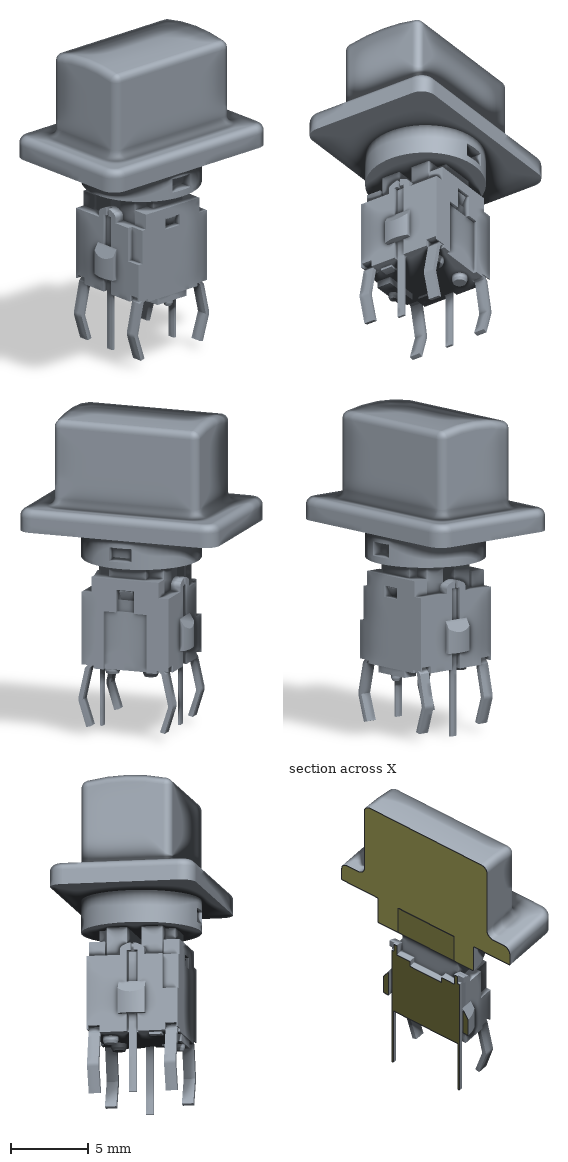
import cadquery as cq
import math

TOTAL_HEIGHT = 20.97
BASE_Z = 4.45
LEDGE_Z = 9.48
POST_TOP_Z = 10.5
COLLAR_BOTTOM_Z = 11.43
FLANGE_BOTTOM_Z = 13.53
FLANGE_TOP_Z = 15.0

FLANGE_SIZE_X = 9.6
FLANGE_SIZE_Y = 13.7
FLANGE_CORNER_RADIUS = 1.0
BUTTON_SIZE_X = 6.0
BUTTON_SIZE_Y = 10.0
CROWN_RADIUS = 12.0
ROUNDING = 0.5
COLLAR_DIAMETER = 7.8
WINDOW_WIDTH = 1.55
WINDOW_BOTTOM_Z = 11.87
WINDOW_TOP_Z = 12.8
WINDOW_CLEARANCE = 0.13

STEM_SIZE_X = 3.71
STEM_SIZE_Y = 4.5
STEM_CHAMFER = 0.05
ARM_REACH = 2.52
ARM_WIDTH = 2.54
ARM_BOTTOM_Z = 9.05
FORK_GAP = 0.96
TAB_REACH = 3.17
HOOK_WIDTH = 0.88
HOOK_TIP_X = 2.85
HOOK_TIP_Z = 9.69

HOUSING_SIZE = 5.98
HALF_HOUSING = HOUSING_SIZE / 2
POST_SIZE_Y = 4.65
CHANNEL_SIZE_X = 3.85

GABLE_WIDTH = 1.6
GABLE_EAVES_Z = 9.8
GABLE_SHOULDER_X = 0.5
GABLE_SHOULDER_Z = 10.13
GABLE_TOP_Z = 10.28
GABLE_SLIT_WIDTH = 0.2

PIN_WIDTH = 0.5
PIN_THICKNESS = 0.17
PIN_OUTER_Y = 2.77
PIN_TOP_Z = 9.67
REAR_PIN_BOTTOM_Z = 0.0
FRONT_PIN_BOTTOM_Z = 0.5
PIN_SLOT_WIDTH = 0.71
PIN_SLOT_TOP_Z = 9.77
PIN_SLOT_FLOOR_Y = PIN_OUTER_Y - PIN_THICKNESS

CLIP_WIDTH = 1.78
CLIP_CURVE_RADIUS = 2.41
CLIP_REACH_Y = 3.45
CLIP_BOTTOM_Z = 5.6
CLIP_TOP_Z = 7.72
CLIP_NOSE_Z = 6.96

CORNER_RECESS_WIDTH = 0.99
CORNER_RECESS_DEPTH = 0.34
CORNER_RECESS_BOTTOM_Z = 7.2

PANEL_WIDTH = 2.95
PANEL_DEPTH = 0.23
PANEL_TOP_Z = 8.3
PORT_WIDTH = 1.25
PORT_TOP_Z = 9.8
GROOVE_DEPTH = 0.38

LEG_INNER_X = 2.15
LEG_WIDTH = 0.75
LEG_THICKNESS = 0.31
NOTCH_INNER_Y = 2.15
SIDE_NOTCH_TOP_Z = 4.65
LEG_NOTCH_TOP_Z = 4.9
LEG_ROOT_Y = 2.35
LEG_BEND_Y = 2.79
LEG_KNEE_Y = 3.27
LEG_KNEE_Z = 2.3
LEG_KNEE_RADIUS = 0.45
LEG_TIP_Y = 2.7
LEG_TIP_RISE = 0.08
LEG_TIP_Z = 0.5

FOOT_DIAMETER = 1.0
FOOT_X = -1.76
FOOT_Y = 1.32
STANDOFF_BOTTOM_Z = 3.98
STANDOFF_INNER_X = 1.9
STANDOFF_OUTER_X = 2.91
STANDOFF_WIDTH = 2.52
PEG_DIAMETER = 0.63
PEG_X = 2.54
PEG_BOTTOM_Z = 3.59
TIP_TAPER_HEIGHT = 0.19
TIP_TAPER_INSET = 0.08
PAD_INNER_X = 0.99
PAD_OUTER_X = 1.82
PAD_INNER_Y = 1.78
PAD_OUTER_Y = 2.41
PAD_HEIGHT = 0.15


def box(x_range, y_range, z_range):
    """Axis-aligned block between two limits on each axis."""
    x0, x1 = x_range
    y0, y1 = y_range
    z0, z1 = z_range
    return cq.Workplane("XY").box(x1 - x0, y1 - y0, z1 - z0, centered=False).translate((x0, y0, z0))


def centred_box(size_x, size_y, bottom, top):
    """Block centred on the vertical axis."""
    return box((-size_x / 2, size_x / 2), (-size_y / 2, size_y / 2), (bottom, top))


def in_y_pair(shape):
    """A shape together with its mirror image across the XZ plane."""
    return shape.union(shape.mirror("XZ"))


def in_x_pair(shape):
    """A shape together with its mirror image across the YZ plane."""
    return shape.union(shape.mirror("YZ"))


def make_arms():
    return centred_box(2 * ARM_REACH, ARM_WIDTH, ARM_BOTTOM_Z, FLANGE_BOTTOM_Z)


def make_stem():
    stem = centred_box(STEM_SIZE_X, STEM_SIZE_Y, LEDGE_Z, FLANGE_BOTTOM_Z)
    return stem.edges("|Z").chamfer(STEM_CHAMFER).union(make_arms())


def make_hook():
    """Wedge on the -X arm that catches in the housing port; its underside slopes inward."""
    return (
        cq.Workplane("XZ")
        .polyline([(-ARM_REACH, ARM_BOTTOM_Z), (-HOOK_TIP_X, HOOK_TIP_Z), (-ARM_REACH, HOOK_TIP_Z)])
        .close()
        .extrude(HOOK_WIDTH / 2, both=True)
    )


def make_plunger():
    fork_gap = centred_box(FORK_GAP, STEM_SIZE_Y, ARM_BOTTOM_Z, COLLAR_BOTTOM_Z)
    tabs = centred_box(
        2 * TAB_REACH, WINDOW_WIDTH, WINDOW_BOTTOM_Z + WINDOW_CLEARANCE, WINDOW_TOP_Z - WINDOW_CLEARANCE
    )
    return make_stem().cut(fork_gap).union(tabs).union(in_x_pair(make_hook()))


def make_button():
    """Upright block with a crown curved about the Y direction."""
    half_width = BUTTON_SIZE_X / 2
    edge_z = TOTAL_HEIGHT - CROWN_RADIUS + math.sqrt(CROWN_RADIUS**2 - half_width**2)
    return (
        cq.Workplane("XZ")
        .moveTo(-half_width, FLANGE_BOTTOM_Z)
        .lineTo(-half_width, edge_z)
        .threePointArc((0, TOTAL_HEIGHT), (half_width, edge_z))
        .lineTo(half_width, FLANGE_BOTTOM_Z)
        .close()
        .extrude(BUTTON_SIZE_Y / 2, both=True)
        .edges("|Z or %CIRCLE or (|Y and (not <Z))")
        .fillet(ROUNDING)
    )


def make_flange():
    return (
        centred_box(FLANGE_SIZE_X, FLANGE_SIZE_Y, FLANGE_BOTTOM_Z, FLANGE_TOP_Z)
        .edges("|Z")
        .fillet(FLANGE_CORNER_RADIUS)
        .faces(">Z")
        .edges()
        .fillet(ROUNDING)
    )


def make_cap():
    margin = ROUNDING / 2
    button_foot = cq.selectors.BoxSelector(
        (-BUTTON_SIZE_X / 2 - margin, -BUTTON_SIZE_Y / 2 - margin, FLANGE_TOP_Z - margin),
        (BUTTON_SIZE_X / 2 + margin, BUTTON_SIZE_Y / 2 + margin, FLANGE_TOP_Z + margin),
        boundingbox=True,
    )
    top = make_flange().union(make_button()).edges(button_foot).fillet(ROUNDING)
    collar = (
        cq.Workplane("XY")
        .workplane(offset=COLLAR_BOTTOM_Z)
        .circle(COLLAR_DIAMETER / 2)
        .extrude(FLANGE_BOTTOM_Z - COLLAR_BOTTOM_Z)
    )
    windows = centred_box(COLLAR_DIAMETER, WINDOW_WIDTH, WINDOW_BOTTOM_Z, WINDOW_TOP_Z)
    return top.union(collar).cut(windows).cut(make_stem())


def make_gable():
    """Raised wall in the middle of the -Y ledge, with rounded shoulders and a low round top."""
    half_width = GABLE_WIDTH / 2
    shoulder_run = half_width - GABLE_SHOULDER_X
    shoulder_rise = GABLE_SHOULDER_Z - GABLE_EAVES_Z
    shoulder_radius = (shoulder_run**2 + shoulder_rise**2) / (2 * shoulder_run)
    return (
        cq.Workplane("XZ", origin=(0, -POST_SIZE_Y / 2, 0))
        .moveTo(-half_width, BASE_Z)
        .lineTo(-half_width, GABLE_EAVES_Z)
        .radiusArc((-GABLE_SHOULDER_X, GABLE_SHOULDER_Z), shoulder_radius)
        .threePointArc((0, GABLE_TOP_Z), (GABLE_SHOULDER_X, GABLE_SHOULDER_Z))
        .radiusArc((half_width, GABLE_EAVES_Z), shoulder_radius)
        .lineTo(half_width, BASE_Z)
        .close()
        .extrude(HALF_HOUSING - POST_SIZE_Y / 2)
    )


def make_pin_slot():
    """Slot for the -Y terminal pin, with a narrow slit above it."""
    depth = (-HALF_HOUSING, -PIN_SLOT_FLOOR_Y)
    slot = box((-PIN_SLOT_WIDTH / 2, PIN_SLOT_WIDTH / 2), depth, (BASE_Z, PIN_SLOT_TOP_Z))
    slit = box((-GABLE_SLIT_WIDTH / 2, GABLE_SLIT_WIDTH / 2), depth, (BASE_Z, GABLE_TOP_Z))
    return slot.union(slit)


def make_clip():
    """Rounded catch on the -Y wall with a sloping top."""
    curve_centre_y = -CLIP_REACH_Y + CLIP_CURVE_RADIUS
    drum = (
        cq.Workplane("XY")
        .workplane(offset=CLIP_BOTTOM_Z)
        .center(0, curve_centre_y)
        .circle(CLIP_CURVE_RADIUS)
        .extrude(CLIP_TOP_Z - CLIP_BOTTOM_Z)
    )
    side_profile = (
        cq.Workplane("YZ")
        .polyline(
            [
                (-HALF_HOUSING, CLIP_BOTTOM_Z),
                (-CLIP_REACH_Y, CLIP_BOTTOM_Z),
                (-CLIP_REACH_Y, CLIP_NOSE_Z),
                (-HALF_HOUSING, CLIP_TOP_Z),
            ]
        )
        .close()
        .extrude(CLIP_WIDTH / 2, both=True)
    )
    return side_profile.intersect(drum)


def make_pin(bottom):
    """Straight terminal on the -Y side, standing against the floor of its slot."""
    return box((-PIN_WIDTH / 2, PIN_WIDTH / 2), (-PIN_OUTER_Y, -PIN_SLOT_FLOOR_Y), (bottom, PIN_TOP_Z))


def make_leg_notch():
    """Opening for the root of the (+X, +Y) leg, taller in the Y wall than in the X wall."""
    y_range = (NOTCH_INNER_Y, HALF_HOUSING)
    low = box((LEG_INNER_X, HALF_HOUSING), y_range, (BASE_Z, SIDE_NOTCH_TOP_Z))
    tall = box((LEG_INNER_X, LEG_INNER_X + LEG_WIDTH), y_range, (BASE_Z, LEG_NOTCH_TOP_Z))
    return low.union(tall)


def make_leg():
    """Kinked leg at the (+X, +Y) corner; its root slopes inward to the back of the leg notch."""
    outer_knee = cq.selectors.NearestToPointSelector((LEG_INNER_X + LEG_WIDTH / 2, LEG_KNEE_Y, LEG_KNEE_Z))
    root_inset = LEG_THICKNESS * math.sqrt(2)
    return (
        cq.Workplane("YZ", origin=(LEG_INNER_X, 0, 0))
        .polyline(
            [
                (LEG_ROOT_Y, LEG_NOTCH_TOP_Z),
                (LEG_BEND_Y, BASE_Z),
                (LEG_KNEE_Y, LEG_KNEE_Z),
                (LEG_TIP_Y, LEG_TIP_Z),
                (LEG_TIP_Y - LEG_THICKNESS, LEG_TIP_Z + LEG_TIP_RISE),
                (LEG_KNEE_Y - LEG_THICKNESS, LEG_KNEE_Z),
                (LEG_BEND_Y - LEG_THICKNESS, BASE_Z),
                (LEG_ROOT_Y - root_inset, LEG_NOTCH_TOP_Z),
            ]
        )
        .close()
        .extrude(LEG_WIDTH)
        .edges(outer_knee)
        .fillet(LEG_KNEE_RADIUS)
    )


def make_post(diameter, x, y, bottom, top):
    """Round post pointing down, tapered at its lower end."""
    radius = diameter / 2
    return (
        cq.Workplane("XZ")
        .polyline(
            [
                (0, top),
                (radius, top),
                (radius, bottom + TIP_TAPER_HEIGHT),
                (radius - TIP_TAPER_INSET, bottom),
                (0, bottom),
            ]
        )
        .close()
        .revolve(360, (0, 0, 0), (0, 1, 0))
        .translate((x, y, 0))
    )


def make_underside():
    """Feet, standoff with its peg, and two thin pads below the base."""
    feet = in_y_pair(make_post(FOOT_DIAMETER, FOOT_X, FOOT_Y, STANDOFF_BOTTOM_Z, BASE_Z))
    standoff = box(
        (STANDOFF_INNER_X, STANDOFF_OUTER_X),
        (-STANDOFF_WIDTH / 2, STANDOFF_WIDTH / 2),
        (STANDOFF_BOTTOM_Z, BASE_Z),
    )
    peg = make_post(PEG_DIAMETER, PEG_X, 0, PEG_BOTTOM_Z, STANDOFF_BOTTOM_Z)
    pads = in_y_pair(
        box((PAD_INNER_X, PAD_OUTER_X), (PAD_INNER_Y, PAD_OUTER_Y), (BASE_Z - PAD_HEIGHT, BASE_Z))
    )
    return feet.union(standoff).union(peg).union(pads)


def make_side_openings():
    """Panel recess and groove in the -X wall, and a port to the plunger arm in each X wall."""
    panel = box(
        (-HALF_HOUSING, -HALF_HOUSING + PANEL_DEPTH),
        (-PANEL_WIDTH / 2, PANEL_WIDTH / 2),
        (BASE_Z, PANEL_TOP_Z),
    )
    groove = box(
        (-HALF_HOUSING, -HALF_HOUSING + GROOVE_DEPTH),
        (-PORT_WIDTH / 2, PORT_WIDTH / 2),
        (PANEL_TOP_Z, PORT_TOP_Z),
    )
    ports = centred_box(HOUSING_SIZE, PORT_WIDTH, ARM_BOTTOM_Z, PORT_TOP_Z)
    return panel.union(groove).union(ports)


def make_corner_recess():
    """Step in the -Y wall beside the +X edge."""
    return box(
        (HALF_HOUSING - CORNER_RECESS_WIDTH, HALF_HOUSING),
        (-HALF_HOUSING, -HALF_HOUSING + CORNER_RECESS_DEPTH),
        (CORNER_RECESS_BOTTOM_Z, LEDGE_Z),
    )


def make_housing():
    block = centred_box(HOUSING_SIZE, HOUSING_SIZE, BASE_Z, LEDGE_Z)
    posts = centred_box(HOUSING_SIZE, POST_SIZE_Y, LEDGE_Z, POST_TOP_Z)
    channel = centred_box(CHANNEL_SIZE_X, POST_SIZE_Y, LEDGE_Z, POST_TOP_Z)
    housing = block.union(posts.cut(channel)).union(in_y_pair(make_gable()))
    housing = housing.cut(make_arms()).cut(make_side_openings()).cut(make_corner_recess())
    housing = housing.cut(in_y_pair(make_pin_slot())).cut(in_x_pair(in_y_pair(make_leg_notch())))
    housing = housing.union(in_y_pair(make_clip())).union(in_x_pair(in_y_pair(make_leg())))
    housing = housing.union(make_pin(FRONT_PIN_BOTTOM_Z)).union(make_pin(REAR_PIN_BOTTOM_Z).mirror("XZ"))
    return housing.union(make_underside())


cap = make_cap()
plunger = make_plunger()
housing = make_housing()

result = cq.Compound.makeCompound([cap.val(), plunger.val(), housing.val()])